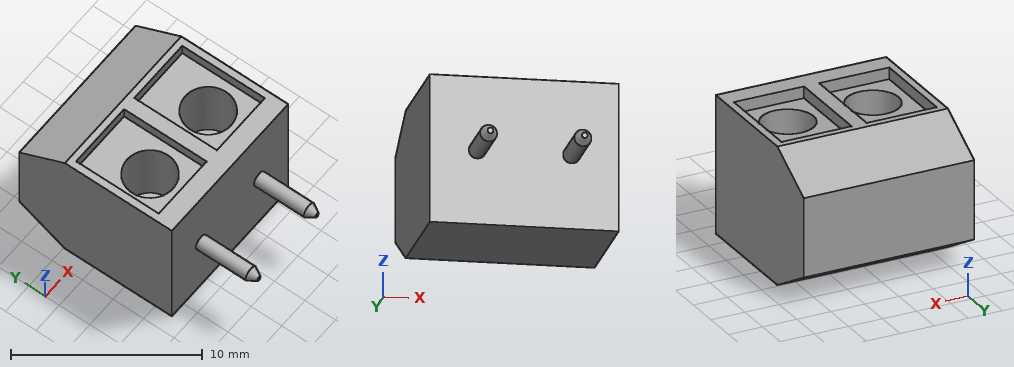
import cadquery as cq

width = 10.0
depth = 10.0
height = 8.0
slope_run = 3.0
slope_drop = 1.71

pitch = 5.0
contact_xs = (-pitch / 2, pitch / 2)

pocket_width = 4.11
pocket_length = 5.41
pocket_front_gap = 1.2
pocket_depth = 0.68
screw_hole_diameter = 3.01
screw_hole_y = 3.34
screw_hole_depth = 4.0

pin_diameter = 0.9
pin_tip_diameter = 0.3
pin_length = 3.8
pin_tip_length = 0.52


def make_housing():
    """Extrude the side outline across the width; front face at Y = 0."""
    top = height / 2
    rear_top = top - slope_drop
    slope_start = depth - slope_run
    outline = [
        (0, -top),
        (slope_start, -top),
        (depth, -rear_top),
        (depth, rear_top),
        (slope_start, top),
        (0, top),
    ]
    return cq.Workplane("YZ").polyline(outline).close().extrude(width / 2, both=True)


def make_screw_recess(x):
    """Rectangular pocket with a round blind hole in its floor."""
    floor_z = height / 2 - pocket_depth
    pocket = (
        cq.Workplane("XY", origin=(x, pocket_front_gap + pocket_length / 2, floor_z))
        .rect(pocket_width, pocket_length)
        .extrude(pocket_depth)
    )
    hole = (
        cq.Workplane("XY", origin=(x, screw_hole_y, floor_z))
        .circle(screw_hole_diameter / 2)
        .extrude(-screw_hole_depth)
    )
    return pocket.union(hole)


def make_pin(x):
    """Round pin with a blunt conical tip, pointing along -Y."""
    radius = pin_diameter / 2
    half_outline = [
        (0, 0),
        (radius, 0),
        (radius, pin_tip_length - pin_length),
        (pin_tip_diameter / 2, -pin_length),
        (0, -pin_length),
    ]
    pin = cq.Workplane("XY").polyline(half_outline).close().revolve(360, (0, 0), (0, 1))
    return pin.translate((x, 0, 0))


result = make_housing()
for contact_x in contact_xs:
    result = result.cut(make_screw_recess(contact_x))
    result = result.union(make_pin(contact_x))